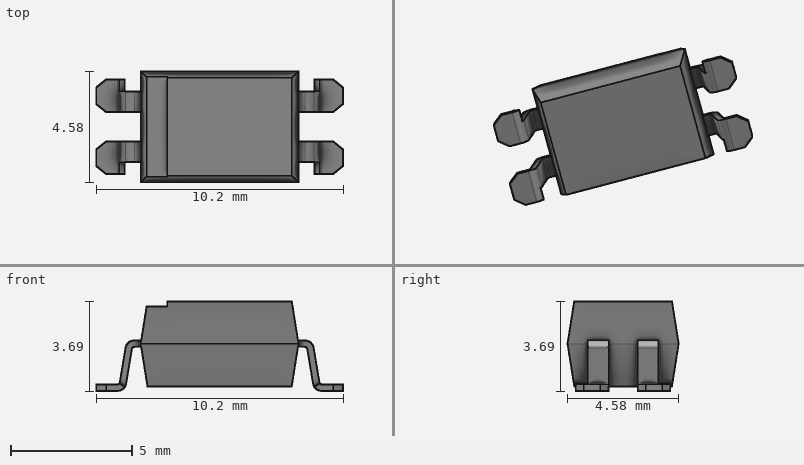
import cadquery as cq
import math

housing_length = 6.5
housing_width = 4.58
upper_height = 1.74
lower_height = 1.77
draft_angle = 9.0
parting_z = 1.95
step_depth = 0.2
step_edge_x = -2.16

tip_to_tip = 10.16
strip_thickness = 0.27
strip_width = 0.85
strip_inner_y = 0.6
foot_width = 1.35
inner_radius = 0.1
outer_radius = inner_radius + strip_thickness
lean_angle = 9.5
shoulder_x = 3.51
foot_bend_sweep = 57.0
tip_chamfer_x = 0.41
tip_chamfer_y = 0.34

strip_top_z = parting_z + strip_thickness / 2
strip_bottom_z = strip_top_z - strip_thickness
tip_x = tip_to_tip / 2

lean = math.radians(lean_angle)
upper_center_z = strip_top_z - outer_radius
foot_center_z = outer_radius
radius_sum = inner_radius + outer_radius
leg_drop = upper_center_z - foot_center_z + radius_sum * math.sin(lean)
foot_center_x = shoulder_x + radius_sum * math.cos(lean) + leg_drop * math.tan(lean)
upper_center = (shoulder_x, upper_center_z)
foot_center = (foot_center_x, foot_center_z)


def on_bend(center, radius, angle):
    """Point in the XZ plane around a bend centre, angle in degrees from +X toward +Z."""
    turn = math.radians(angle)
    return (center[0] + radius * math.cos(turn), center[1] + radius * math.sin(turn))


def extrude_along_y(profile, y_start, width):
    """Extrude an XZ profile from y_start toward +Y."""
    return profile.extrude(-width).translate((0, y_start, 0))


def lead_strip():
    """Half of the narrow strip, from the middle of the housing to the end of the foot bend."""
    upper_mid = (90 + lean_angle) / 2
    foot_start = 180 + lean_angle
    foot_mid = (foot_start + 270) / 2
    profile = (
        cq.Workplane("XZ")
        .moveTo(0, strip_top_z)
        .lineTo(shoulder_x, strip_top_z)
        .threePointArc(on_bend(upper_center, outer_radius, upper_mid),
                       on_bend(upper_center, outer_radius, lean_angle))
        .lineTo(*on_bend(foot_center, inner_radius, foot_start))
        .threePointArc(on_bend(foot_center, inner_radius, foot_mid),
                       on_bend(foot_center, inner_radius, 270))
        .lineTo(foot_center_x, 0)
        .threePointArc(on_bend(foot_center, outer_radius, foot_mid),
                       on_bend(foot_center, outer_radius, foot_start))
        .lineTo(*on_bend(upper_center, inner_radius, lean_angle))
        .threePointArc(on_bend(upper_center, inner_radius, upper_mid),
                       on_bend(upper_center, inner_radius, 90))
        .lineTo(0, strip_bottom_z)
        .close()
    )
    return extrude_along_y(profile, strip_inner_y, strip_width)


def lead_foot():
    """Wide foot: a flat pad with a chamfered tip and the lower part of the foot bend."""
    bend_end = 270 - foot_bend_sweep
    bend_mid = 270 - foot_bend_sweep / 2
    profile = (
        cq.Workplane("XZ")
        .moveTo(tip_x, 0)
        .lineTo(foot_center_x, 0)
        .threePointArc(on_bend(foot_center, outer_radius, bend_mid),
                       on_bend(foot_center, outer_radius, bend_end))
        .lineTo(*on_bend(foot_center, inner_radius, bend_end))
        .threePointArc(on_bend(foot_center, inner_radius, bend_mid),
                       on_bend(foot_center, inner_radius, 270))
        .lineTo(tip_x, strip_thickness)
        .close()
    )
    foot = extrude_along_y(profile, strip_inner_y, foot_width)
    for edge_y, inward in ((strip_inner_y, 1), (strip_inner_y + foot_width, -1)):
        corner = (
            cq.Workplane("XY")
            .polyline([
                (tip_x, edge_y),
                (tip_x - tip_chamfer_x, edge_y),
                (tip_x, edge_y + inward * tip_chamfer_y),
            ])
            .close()
            .extrude(strip_thickness)
        )
        foot = foot.cut(corner)
    return foot


def make_lead(side):
    """One lead running straight through the housing with a foot at each end; side is +1 or -1 in Y."""
    half = lead_strip().union(lead_foot())
    lead = half.union(half.mirror("YZ"))
    if side < 0:
        lead = lead.mirror("XZ")
    return lead


def drafted_block(height):
    """Block that narrows upward from the parting plane."""
    return (
        cq.Workplane("XY", origin=(0, 0, parting_z))
        .rect(housing_length, housing_width)
        .extrude(height, taper=draft_angle)
    )


def make_housing(leads):
    """Housing drafted away from the parting plane, with a step on top and a passage for each lead."""
    upper = drafted_block(upper_height)
    lower = drafted_block(lower_height).mirror("XY", (0, 0, parting_z))
    step_length = housing_length / 2 + step_edge_x
    step = (
        cq.Workplane("XY", origin=(step_edge_x - step_length / 2, 0, parting_z + upper_height))
        .rect(step_length, housing_width)
        .extrude(-step_depth)
    )
    housing = upper.union(lower).cut(step)
    for lead in leads:
        housing = housing.cut(lead)
    return housing


leads = [make_lead(side) for side in (1, -1)]
housing = make_housing(leads)

result = cq.Compound.makeCompound([housing.solids().val(), *[lead.solids().val() for lead in leads]])